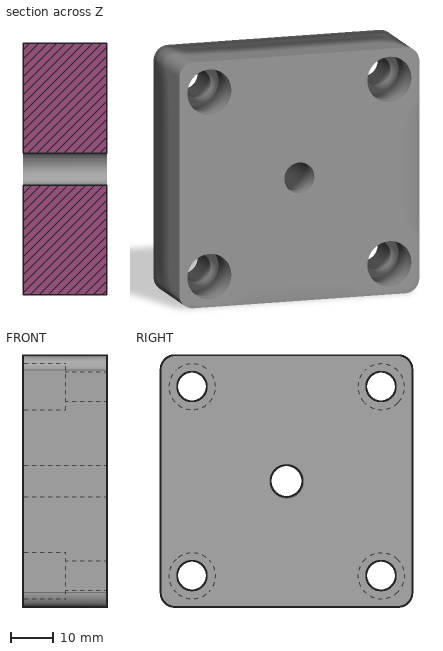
import cadquery as cq

thickness = 20.0
side = 60.0
corner_radius = 3.5

hole_spacing = 45.0
hole_diameter = 7.0
counterbore_diameter = 11.0
counterbore_depth = thickness / 2

bore_diameter = 7.5
sleeve_diameter = 8.0

entry_plane = cq.Workplane("YZ").workplane(offset=-thickness / 2)


def make_block():
    """Square block centred on the origin, with its X-direction edges rounded."""
    return cq.Workplane("YZ").box(side, side, thickness).edges("|X").fillet(corner_radius)


def corner_cylinders(diameter, depth):
    """Four cylinders at the mounting positions, running inward from the -X face."""
    return (
        entry_plane.rect(hole_spacing, hole_spacing, forConstruction=True)
        .vertices()
        .circle(diameter / 2)
        .extrude(depth)
    )


def cut_corner_holes(body):
    """Cut the four mounting holes, counterbored on the -X face."""
    body = body.cut(corner_cylinders(hole_diameter, thickness))
    return body.cut(corner_cylinders(counterbore_diameter, counterbore_depth))


def fit_central_sleeve(body):
    """Open the central hole and fuse in the sleeve, keeping its rim as a separate flush face."""
    sleeve_seat = entry_plane.circle(sleeve_diameter / 2).extrude(thickness)
    sleeve = entry_plane.circle(sleeve_diameter / 2).circle(bore_diameter / 2).extrude(thickness)
    return body.cut(sleeve_seat).union(sleeve, clean=False)


block = make_block()
drilled_block = cut_corner_holes(block)
result = fit_central_sleeve(drilled_block)